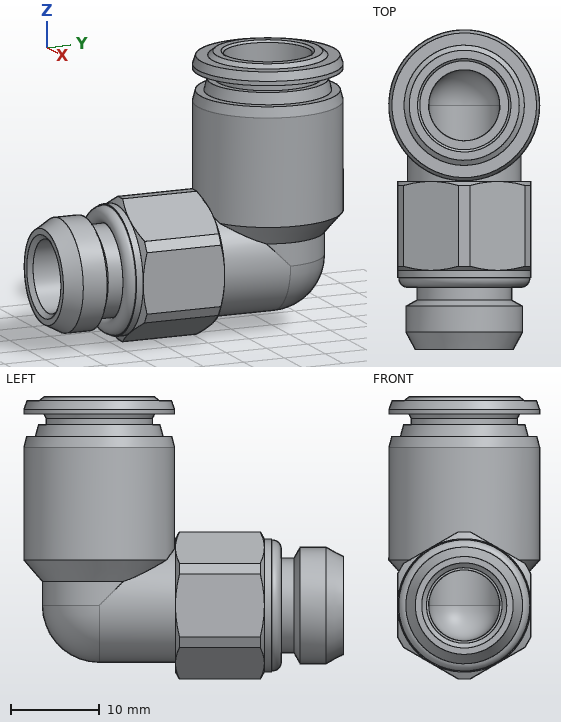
import cadquery as cq
import math


body_diameter = 17.0
elbow_diameter = 12.8
bore_diameter = 8.0
tube_diameter = 10.0
sleeve_neck_diameter = 12.0
thread_diameter = 13.15
thread_neck_diameter = 10.7
stud_bore_diameter = 8.5

cone_bottom_z = 2.7
body_bottom_z = 5.1
body_shoulder_z = 17.8
cap_bottom_z = 19.0
cap_top_z = 20.35
sleeve_flare_z = 21.05
flange_bottom_z = 21.53
flange_bevel_z = 22.05
flange_top_z = 23.05
socket_top_z = 23.5

body_bevel_radius = 8.17
cap_bottom_radius = 7.2
cap_top_radius = 6.85
sleeve_neck_radius = sleeve_neck_diameter / 2
sleeve_flare_radius = 6.23
flange_top_radius = 8.15
lip_bottom_radius = 6.75
lip_top_radius = 6.2
tube_entry_chamfer = 0.25

nut_gap = 0.07
nut_start = body_diameter / 2 + nut_gap
nut_length = 10.0
collar_length = 0.83
seal_length = 1.08
thread_neck_length = 1.45
thread_lead_length = 0.7
thread_tip_length = 1.98
overall_length = 36.0
stud_end = overall_length - body_diameter / 2

nut_across_flats = 15.0
nut_across_corners = 16.55
nut_chamfer_angle = 30
envelope_clearance = 0.35
seal_outer_radius = 7.38
stud_tip_radius = 5.5
stud_entry_chamfer = 0.55


def revolve_z(profile):
    """Revolve a closed (radius, height) outline about the Z axis."""
    return cq.Workplane("XZ").polyline(profile).close().revolve(360, (0, 0), (0, 1))


def cylinder_along_stud(radius, start, end):
    """Cylinder on the stud axis between two distances from the origin."""
    return cq.Workplane("XZ", origin=(0, -start, 0)).circle(radius).extrude(end - start)


def revolve_stud(profile):
    """Revolve a closed (radius, distance) outline about the stud axis."""
    points = [(radius, -distance) for radius, distance in profile]
    return cq.Workplane("XY").polyline(points).close().revolve(360, (0, 0), (0, 1))


def make_elbow():
    """Horizontal arm of the elbow and its spherical outer corner."""
    radius = elbow_diameter / 2
    branch = cylinder_along_stud(radius, 0, nut_start)
    return branch.union(cq.Workplane("XY").sphere(radius))


def make_socket():
    """Upright elbow arm and socket body with its cap and the flanged release sleeve."""
    body_radius = body_diameter / 2
    return revolve_z([
        (0, 0),
        (elbow_diameter / 2, 0),
        (elbow_diameter / 2, cone_bottom_z),
        (body_radius, body_bottom_z),
        (body_radius, body_shoulder_z),
        (body_bevel_radius, cap_bottom_z),
        (cap_bottom_radius, cap_bottom_z),
        (cap_top_radius, cap_top_z),
        (sleeve_neck_radius, cap_top_z),
        (sleeve_neck_radius, sleeve_flare_z),
        (sleeve_flare_radius, flange_bottom_z),
        (body_radius, flange_bottom_z),
        (body_radius, flange_bevel_z),
        (flange_top_radius, flange_top_z),
        (lip_bottom_radius, flange_top_z),
        (lip_top_radius, socket_top_z),
        (0, socket_top_z),
    ])


def make_hexagon(across_flats, rotation):
    """Hexagonal bar of the nut's length, turned about the stud axis."""
    corner_diameter = across_flats / math.cos(math.radians(30))
    bar = cq.Workplane("XZ", origin=(0, -nut_start, 0)).polygon(6, corner_diameter).extrude(nut_length)
    return bar.rotate((0, 0, 0), (0, 1, 0), rotation)


def make_nut():
    """Hexagon with flattened corners and a conical chamfer at both ends."""
    flats = make_hexagon(nut_across_flats, 30)
    corner_flats = make_hexagon(nut_across_corners, 0)
    face_radius = nut_across_flats / 2
    full_radius = nut_across_corners / 2 + envelope_clearance
    chamfer_length = (full_radius - face_radius) * math.tan(math.radians(nut_chamfer_angle))
    nut_end = nut_start + nut_length
    envelope = revolve_stud([
        (0, nut_start),
        (face_radius, nut_start),
        (full_radius, nut_start + chamfer_length),
        (full_radius, nut_end - chamfer_length),
        (face_radius, nut_end),
        (0, nut_end),
    ])
    return flats.intersect(corner_flats).intersect(envelope)


def make_stud():
    """Collar, rounded seal ring, undercut neck and thread with a tapered tip."""
    collar_start = nut_start + nut_length
    seal_start = collar_start + collar_length
    neck_start = seal_start + seal_length
    lead_start = neck_start + thread_neck_length
    thread_start = lead_start + thread_lead_length
    collar_radius = nut_across_flats / 2

    neck_radius = thread_neck_diameter / 2
    thread_radius = thread_diameter / 2
    collar = cylinder_along_stud(collar_radius, collar_start, seal_start)
    seal_section_radius = (seal_outer_radius - neck_radius) / 2
    seal_ring_radius = (seal_outer_radius + neck_radius) / 2
    seal_center = neck_start - seal_section_radius
    seal = (
        cq.Workplane("XY")
        .center(seal_ring_radius, -seal_center)
        .circle(seal_section_radius)
        .revolve(360, (-seal_ring_radius, 0), (-seal_ring_radius, 1))
    )
    thread = revolve_stud([
        (0, collar_start),
        (neck_radius, collar_start),
        (neck_radius, lead_start),
        (thread_radius, thread_start),
        (thread_radius, stud_end - thread_tip_length),
        (stud_tip_radius, stud_end),
        (0, stud_end),
    ])
    return collar.union(thread).union(seal)


def make_passage():
    """Elbow bore with a spherical corner, widened at the tube socket and in the stud."""
    bore_radius = bore_diameter / 2
    tube_radius = tube_diameter / 2
    stud_bore_radius = stud_bore_diameter / 2
    upright = revolve_z([
        (0, 0),
        (bore_radius, 0),
        (bore_radius, body_bottom_z),
        (tube_radius, body_bottom_z),
        (tube_radius, socket_top_z - tube_entry_chamfer),
        (tube_radius + tube_entry_chamfer, socket_top_z),
        (0, socket_top_z),
    ])
    branch = revolve_stud([
        (0, 0),
        (bore_radius, 0),
        (bore_radius, nut_start),
        (stud_bore_radius, nut_start),
        (stud_bore_radius, stud_end - stud_entry_chamfer),
        (stud_bore_radius + stud_entry_chamfer, stud_end),
        (0, stud_end),
    ])
    return upright.union(branch).union(cq.Workplane("XY").sphere(bore_radius))


outside = make_socket().union(make_elbow()).union(make_nut()).union(make_stud())
result = outside.cut(make_passage())